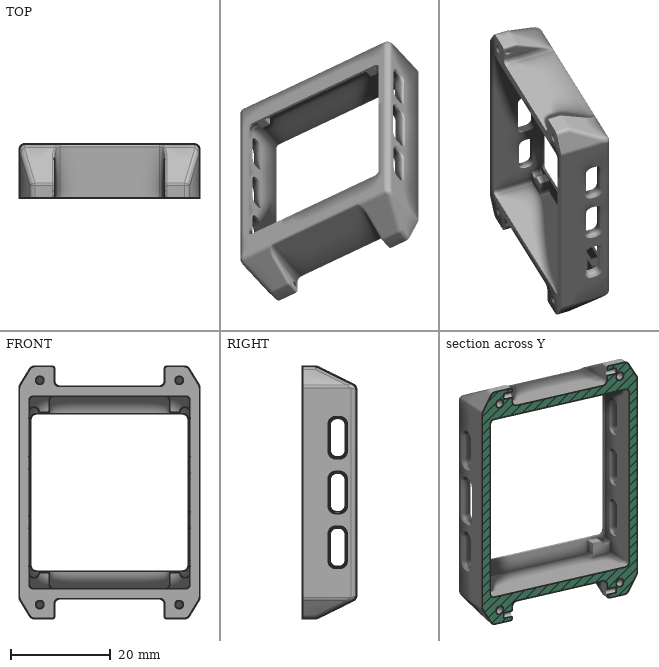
import cadquery as cq

WIDTH = 36.2
DEPTH = 10.9
HEIGHT = 50.6

BODY_HEIGHT = 42.6
EDGE_RADIUS = 1.2
CORNER_CUT_WIDTH = 2.45
LUG_HEIGHT = (HEIGHT - BODY_HEIGHT) / 2
LUG_WIDTH = 7.1
LUG_FLAT_DEPTH = 2.85
LUG_ROOT_RADIUS = 1.0
LUG_EDGE_RADIUS = 0.5

CAVITY_WIDTH = 32.2
CAVITY_HEIGHT = 38.55
CAVITY_RADIUS = 0.8
WALL = (WIDTH - CAVITY_WIDTH) / 2
LIP_THICKNESS = 0.5
LIP_Y = DEPTH - LIP_THICKNESS
WINDOW_SIZE = 31.45
WINDOW_RADIUS = 1.0

PAD_WIDTH = 4.05
PAD_HEIGHT = 3.2
PAD_DEPTH = 2.0
PAD_ROOT_RADIUS = 0.8
PAD_TIP_RADIUS = 0.25
NOTCH_RADIUS = 1.0
NOTCH_FROM_WALL = 0.95

SLOT_Y = 7.1
SLOT_PITCH = 11.0
SLOT_WIDTH = 3.05
SLOT_LENGTH = 7.7
SLOT_RADIUS = 1.2
SLOT_CHAMFER = 0.38
LARGE_SLOT_WIDTH = 3.65
LARGE_SLOT_LENGTH = 9.5
LARGE_SLOT_RADIUS = 1.2
LARGE_SLOT_CHAMFER = 0.3
CHAMFER_ANGLE = 45

SCREW_HOLE_DIAMETER = 1.6
SCREW_HOLE_DEPTH = 4.05
SCREW_HOLE_X = 13.95
SCREW_HOLE_Z = 22.45
PIN_HOLE_DIAMETER = 1.1
PIN_HOLE_DEPTH = 2.0
PIN_HOLE_Y = 0.9
PIN_HOLE_Z = 23.85

CLEARANCE = 0.5
OVERLAP = 0.25


def block(width, height, y_start, y_end):
    """Box centred on X and Z between two Y positions."""
    return cq.Workplane("XY").box(width, y_end - y_start, height).translate((0, (y_start + y_end) / 2, 0))


def outer_shell():
    half_x = WIDTH / 2
    half_z = HEIGHT / 2
    body_z = BODY_HEIGHT / 2
    outline = [(half_x, body_z), (half_x - CORNER_CUT_WIDTH, half_z)]
    outline += [(-x, z) for x, z in reversed(outline)]
    outline += [(-x, -z) for x, z in outline]
    plan = cq.Workplane("XZ").polyline(outline).close().extrude(-DEPTH)
    side = [(0, half_z), (LUG_FLAT_DEPTH, half_z), (DEPTH, body_z)]
    side += [(y, -z) for y, z in reversed(side)]
    profile = cq.Workplane("YZ").polyline(side).close().extrude(half_x, both=True)
    shell = plan.intersect(profile)
    return shell.edges("not <Y").fillet(EDGE_RADIUS)


def cut_lug_gaps(part):
    """Cut the strap gap at each end and round its rim, from lug to lug across the front of the body."""
    body_z = BODY_HEIGHT / 2
    for end in (-1, 1):
        gap = block(WIDTH - 2 * LUG_WIDTH, 2 * LUG_HEIGHT, -CLEARANCE, DEPTH + CLEARANCE)
        gap = gap.edges("|Y").fillet(LUG_ROOT_RADIUS)
        part = part.cut(gap.translate((0, 0, end * (body_z + LUG_HEIGHT))))
    for end in (-1, 1):
        rim_middle = cq.selectors.NearestToPointSelector((0, DEPTH, end * body_z))
        part = part.edges("|X").edges(rim_middle).fillet(LUG_EDGE_RADIUS)
    return part


def cavity_cutter():
    cavity = block(CAVITY_WIDTH, CAVITY_HEIGHT, -CLEARANCE, LIP_Y)
    cavity = cavity.edges("|Y").fillet(CAVITY_RADIUS)
    window = block(WINDOW_SIZE, WINDOW_SIZE, 0, DEPTH + CLEARANCE)
    window = window.edges("|Y").fillet(WINDOW_RADIUS)
    return cavity.union(window)


def corner_pad():
    """Pad on the lip in the +X +Z cavity corner, with a round notch beside the side wall."""
    wall_x = CAVITY_WIDTH / 2
    wall_z = CAVITY_HEIGHT / 2
    inner_x = wall_x - PAD_WIDTH
    tip_z = wall_z - PAD_HEIGHT
    notch_x = wall_x - NOTCH_FROM_WALL
    notch = cq.Workplane("XZ").center(notch_x, tip_z).circle(NOTCH_RADIUS).extrude(-DEPTH)
    pad = (
        cq.Workplane("XZ", origin=(0, LIP_Y + OVERLAP, 0))
        .moveTo(wall_x + OVERLAP, wall_z + OVERLAP)
        .lineTo(inner_x - PAD_ROOT_RADIUS, wall_z + OVERLAP)
        .lineTo(inner_x - PAD_ROOT_RADIUS, wall_z)
        .radiusArc((inner_x, wall_z - PAD_ROOT_RADIUS), PAD_ROOT_RADIUS)
        .lineTo(inner_x, tip_z)
        .lineTo(wall_x + OVERLAP, tip_z)
        .close()
        .extrude(PAD_DEPTH + OVERLAP)
        .cut(notch)
    )
    for tip_x in (inner_x, notch_x - NOTCH_RADIUS):
        tip_edge = cq.selectors.NearestToPointSelector((tip_x, LIP_Y - PAD_DEPTH / 2, tip_z))
        pad = pad.edges("|Y").edges(tip_edge).fillet(PAD_TIP_RADIUS)
    return pad


def slot_cutter(width, length, radius, chamfer):
    """Slot through the -X wall at mid height, with its outer rim chamfered."""
    slot = cq.Workplane("XY").box(WALL + CLEARANCE, width, length).edges("|X").fillet(radius)
    slot = slot.translate(((WALL + CLEARANCE - WIDTH) / 2, SLOT_Y, 0))
    rim = (
        cq.Workplane("YZ", origin=(-WIDTH / 2, SLOT_Y, 0))
        .sketch()
        .rect(width + 2 * chamfer, length + 2 * chamfer)
        .vertices()
        .fillet(radius + chamfer)
        .finalize()
        .extrude(chamfer, taper=CHAMFER_ANGLE)
    )
    return slot.union(rim)


def cut_slots(part):
    slot = slot_cutter(SLOT_WIDTH, SLOT_LENGTH, SLOT_RADIUS, SLOT_CHAMFER)
    large_slot = slot_cutter(LARGE_SLOT_WIDTH, LARGE_SLOT_LENGTH, LARGE_SLOT_RADIUS, LARGE_SLOT_CHAMFER)
    for z in (-SLOT_PITCH, 0, SLOT_PITCH):
        left_slot = slot if z else large_slot
        part = part.cut(left_slot.translate((0, 0, z)))
        part = part.cut(slot.mirror("YZ").translate((0, 0, z)))
    return part


def lug_holes():
    """Screw hole in the back of the +X +Z lug and pin hole in the side that faces the strap gap."""
    screw_hole = (
        cq.Workplane("XZ")
        .center(SCREW_HOLE_X, SCREW_HOLE_Z)
        .circle(SCREW_HOLE_DIAMETER / 2)
        .extrude(-SCREW_HOLE_DEPTH)
    )
    pin_hole = (
        cq.Workplane("YZ", origin=(WIDTH / 2 - LUG_WIDTH, 0, 0))
        .center(PIN_HOLE_Y, PIN_HOLE_Z)
        .circle(PIN_HOLE_DIAMETER / 2)
        .extrude(PIN_HOLE_DEPTH)
    )
    return screw_hole.union(pin_hole)


def at_four_corners(shape):
    """The shape and its mirror images in the other three corners."""
    upper = shape.union(shape.mirror("YZ"))
    return upper.union(upper.mirror("XY"))


result = cut_lug_gaps(outer_shell())
result = result.cut(cavity_cutter())
result = result.union(at_four_corners(corner_pad()))
result = cut_slots(result)
result = result.cut(at_four_corners(lug_holes()))